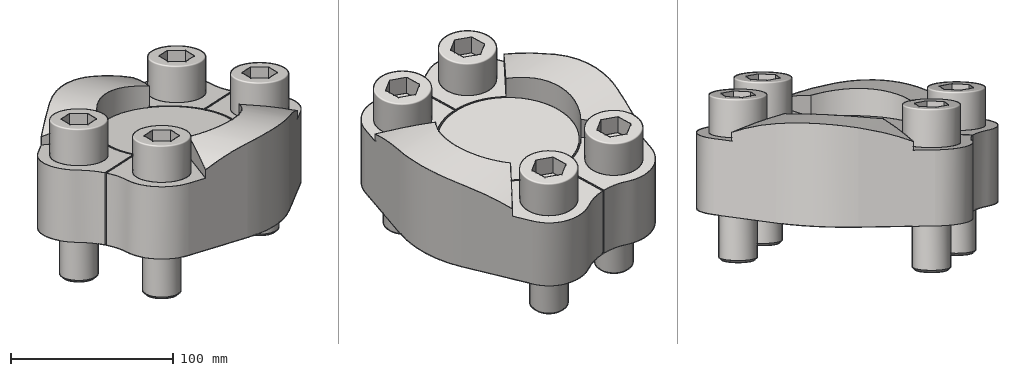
import cadquery as cq
import math

bolt_spacing_x = 58.6
bolt_spacing_y = 123.7
clamp_width = 149.6
clamp_length = 175.0
waist_radius = 38.5

plate_height = 47.8
crown_height = 64.7
crown_radius = 152.7

split_gap = 1.0
bore_diameter = 89.5

pipe_diameter = 87.5
collar_diameter = 107.8
collar_thickness = 20.6
collar_protrusion = 2.1

shank_diameter = 24.0
shank_protrusion = 32.2
shank_chamfer = 1.7
head_diameter = 36.0
head_height = 24.0
head_fillet = 0.9
socket_sides = 6
socket_width = 19.0
socket_depth = 12.0

bolt_x = bolt_spacing_x / 2
bolt_y = bolt_spacing_y / 2
side_radius = clamp_width / 2
lobe_radius = clamp_length / 2 - bolt_y


def clamp_outline():
    """Closed outline of four lobes, two round sides and two concave waists, all tangent."""
    bolt_distance = math.hypot(bolt_x, bolt_y)
    bolt_angle = math.atan2(bolt_y, bolt_x)
    flank_angle = bolt_angle - math.acos((side_radius - lobe_radius) / bolt_distance)
    normal_x = math.cos(flank_angle)
    normal_y = math.sin(flank_angle)
    side_end = (side_radius * normal_x, side_radius * normal_y)
    lobe_start = (bolt_x + lobe_radius * normal_x, bolt_y + lobe_radius * normal_y)

    center_distance = lobe_radius + waist_radius
    waist_center_y = bolt_y + math.sqrt(center_distance**2 - bolt_x**2)
    lobe_share = lobe_radius / center_distance
    lobe_end = (bolt_x * (1 - lobe_share), bolt_y + lobe_share * (waist_center_y - bolt_y))

    lobe_top = (bolt_x, bolt_y + lobe_radius)
    waist_bottom = (0, waist_center_y - waist_radius)

    def mirrored(point, sign_x, sign_y):
        return (sign_x * point[0], sign_y * point[1])

    outline = cq.Workplane("XY").moveTo(*mirrored(side_end, 1, -1))
    for turn in (1, -1):
        outline = (
            outline.threePointArc((turn * side_radius, 0), mirrored(side_end, turn, turn))
            .lineTo(*mirrored(lobe_start, turn, turn))
            .threePointArc(mirrored(lobe_top, turn, turn), mirrored(lobe_end, turn, turn))
            .threePointArc(mirrored(waist_bottom, turn, turn), mirrored(lobe_end, -turn, turn))
            .threePointArc(mirrored(lobe_top, -turn, turn), mirrored(lobe_start, -turn, turn))
            .lineTo(*mirrored(side_end, -turn, turn))
        )
    return outline.close()


def crown_envelope():
    """Two 45 degree sectors around the X axis, capped by the arched crown surface."""
    reach = clamp_width
    sectors = (
        cq.Workplane("XY")
        .polyline([(0, 0), (reach, reach), (reach, -reach)])
        .close()
        .polyline([(0, 0), (-reach, -reach), (-reach, reach)])
        .close()
        .extrude(crown_height)
    )
    arch = (
        cq.Workplane("YZ")
        .center(0, crown_height - crown_radius)
        .circle(crown_radius)
        .extrude(reach, both=True)
    )
    return sectors.intersect(arch)


def clamp():
    """Split clamp: flat plate around the bolts and a raised crown on each side."""
    plate = clamp_outline().extrude(plate_height)
    crown = clamp_outline().extrude(crown_height).intersect(crown_envelope())
    bore = cq.Workplane("XY").circle(bore_diameter / 2).extrude(crown_height)
    split = cq.Workplane("XY").box(split_gap, clamp_length, crown_height, centered=(True, True, False))
    return plate.union(crown).cut(bore).cut(split)


def flange_head():
    """Pipe end flush with the plate, on a collar that stands below the clamp."""
    bottom = cq.Workplane("XY").workplane(offset=-collar_protrusion)
    collar = bottom.circle(collar_diameter / 2).extrude(collar_thickness)
    pipe = bottom.circle(pipe_diameter / 2).extrude(collar_protrusion + plate_height)
    return collar.union(pipe)


def bolt():
    """Hexagon socket head bolt on the Z axis, with its head resting on the plate."""
    shank = (
        cq.Workplane("XY")
        .workplane(offset=-shank_protrusion)
        .circle(shank_diameter / 2)
        .extrude(shank_protrusion + plate_height)
        .faces("<Z")
        .chamfer(shank_chamfer)
    )
    head = (
        cq.Workplane("XY")
        .workplane(offset=plate_height)
        .circle(head_diameter / 2)
        .extrude(head_height)
        .faces(">Z")
        .fillet(head_fillet)
    )
    socket = (
        cq.Workplane("XY")
        .workplane(offset=plate_height + head_height - socket_depth)
        .polygon(socket_sides, socket_width, circumscribed=True)
        .extrude(socket_depth)
    )
    return shank.union(head).cut(socket)


result = clamp().union(flange_head())
for x in (-bolt_x, bolt_x):
    for y in (-bolt_y, bolt_y):
        result = result.union(bolt().translate((x, y, 0)))